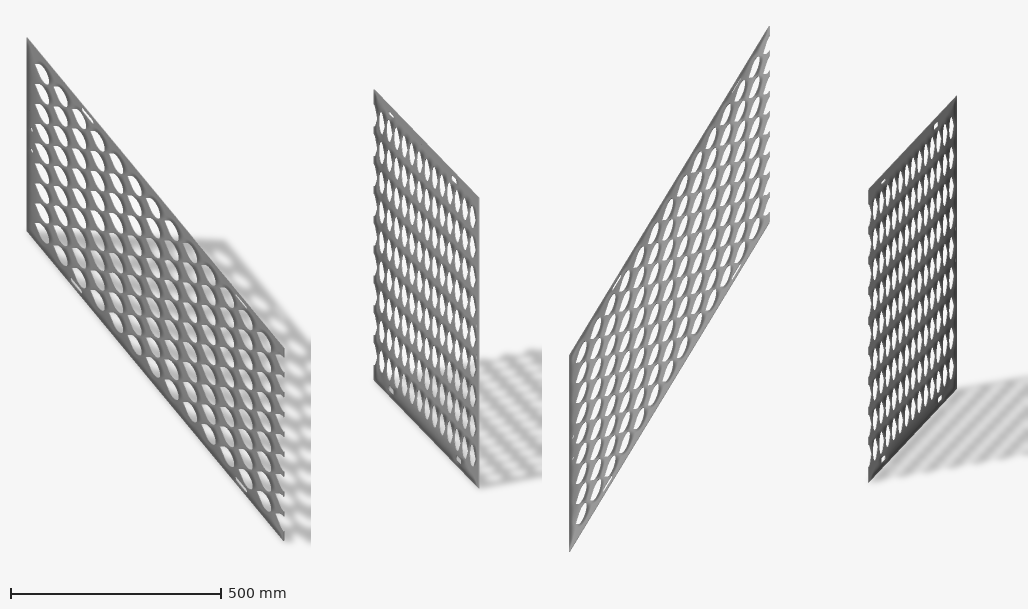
import cadquery as cq
import math

length = 1146.0
height = 712.0
thickness = 1.5
corner_radius = 3.0

drop_radius = 54.0 / 2
drop_tip_distance = drop_radius * math.sqrt(2)
drop_tangent_offset = drop_radius / math.sqrt(2)
columns = 14
rows = 9
column_pitch = 83.0
row_span = 583.0
row_pitch = row_span / (rows - 1)
first_drop_end = 100.0
first_column_x = first_drop_end - drop_radius - length / 2

slot_length = 53.0
slot_width = 13.0
narrow_slot_width = 7.0
slot_edge_distance = 20.0
slot_z = height / 2 - slot_edge_distance
right_slot_x = 383.0
upper_left_slot_x = -303.0
lower_left_slot_x = -353.0

pin_hole_diameter = 10.0
pin_hole_spacing = 77.0
pin_hole_edge_distance = 22.0
pin_hole_x = pin_hole_edge_distance - length / 2


def sketch_at(x, z):
    """Workplane parallel to the sheet with its origin at (x, z)."""
    return cq.Workplane("XZ").center(x, z)


def through_cutter(outline):
    """Solid that passes right through the sheet."""
    return outline.extrude(thickness, both=True).val()


def teardrop(x, z):
    """Circle with two tangent sides that meet at a right angle in a point."""
    outline = (
        sketch_at(x, z)
        .moveTo(-drop_tip_distance, 0)
        .lineTo(-drop_tangent_offset, drop_tangent_offset)
        .threePointArc((drop_radius, 0), (-drop_tangent_offset, -drop_tangent_offset))
        .close()
    )
    return through_cutter(outline)


def slot(x, z, width):
    return through_cutter(sketch_at(x, z).slot2D(slot_length, width))


def pin_hole(z):
    return through_cutter(sketch_at(pin_hole_x, z).circle(pin_hole_diameter / 2))


column_places = [first_column_x + i * column_pitch for i in range(columns)]
row_places = [i * row_pitch - row_span / 2 for i in range(rows)]
openings = [teardrop(x, z) for x in column_places for z in row_places]

openings += [
    slot(upper_left_slot_x, slot_z, slot_width),
    slot(right_slot_x, slot_z, narrow_slot_width),
    slot(lower_left_slot_x, -slot_z, slot_width),
    slot(right_slot_x, -slot_z, slot_width),
]
openings += [pin_hole(side * pin_hole_spacing / 2) for side in (-1, 1)]

sheet = cq.Workplane("XY").box(length, thickness, height).edges("|Y and >X").fillet(corner_radius)

result = sheet.cut(cq.Workplane(cq.Compound.makeCompound(openings)))